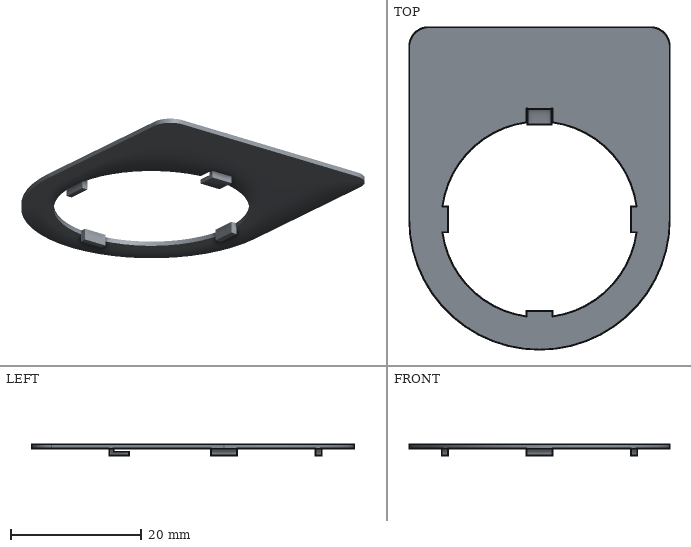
import cadquery as cq

plate_width = 40.0
plate_length = 49.5
plate_thickness = 0.7
corner_radius = 3.0
outer_radius = plate_width / 2
back_edge = plate_length - outer_radius
opening_radius = 15.0

total_height = 1.8
leg_height = total_height - plate_thickness
tab_width = 4.0
tab_thickness = 1.0
tab_inner_radius = opening_radius - tab_thickness

notch_back = 17.0
hook_width = 3.7
hook_front = 14.55
hook_back = 17.6
hook_wall_thickness = 0.75
hook_lip_thickness = 0.65


def make_plate():
    """Rounded plate with its top face at Z = 0, opened by the ring hole."""
    rectangle = (
        cq.Workplane("XY")
        .box(plate_width, back_edge, plate_thickness, centered=(True, False, False))
        .edges("|Z and >Y")
        .fillet(corner_radius)
    )
    disc = cq.Workplane("XY").circle(outer_radius).extrude(plate_thickness)
    opening = cq.Workplane("XY").circle(opening_radius).extrude(plate_thickness)
    return rectangle.union(disc).cut(opening).translate((0, 0, -plate_thickness))


def make_tab(angle):
    """Tab on the front of the opening, turned about the Z axis by angle."""
    return (
        cq.Workplane("XY")
        .box(tab_width, tab_thickness, total_height, centered=(True, False, False))
        .translate((0, -opening_radius, -total_height))
        .rotate((0, 0, 0), (0, 0, 1), angle)
    )


def make_notch():
    """Rectangular cutter running from the opening into the plate."""
    return (
        cq.Workplane("XY")
        .box(tab_width, notch_back - tab_inner_radius, plate_thickness, centered=(True, False, False))
        .translate((0, tab_inner_radius, -plate_thickness))
    )


def make_hook():
    """L-shaped hook: a wall hanging from the plate and a lip reaching forward."""
    wall = (
        cq.Workplane("XY")
        .box(hook_width, hook_wall_thickness, leg_height, centered=(True, False, False))
        .translate((0, hook_back - hook_wall_thickness, -total_height))
    )
    lip = (
        cq.Workplane("XY")
        .box(hook_width, hook_back - hook_front, hook_lip_thickness, centered=(True, False, False))
        .translate((0, hook_front, -total_height))
    )
    return wall.union(lip)


result = make_plate().cut(make_notch()).union(make_hook())
for tab_angle in (-90, 0, 90):
    result = result.union(make_tab(tab_angle))